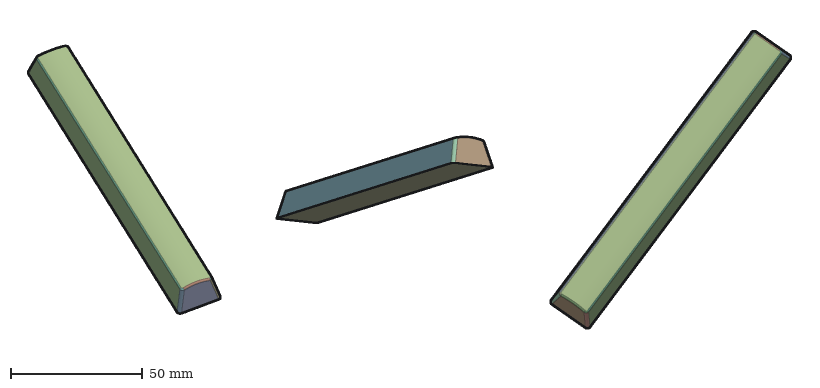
import cadquery as cq

LENGTH = 132.6
WIDTH = 18.3
HEIGHT = 11.4

WALL_DRAFT = 13.5
CORNER_RADIUS = 1.3
CROWN_RADIUS = 22.0
RIM_RADIUS = 0.8


def tapered_body():
    """Block with four leaning walls and rounded corner edges."""
    block = cq.Workplane("XY").rect(LENGTH, WIDTH).extrude(HEIGHT, taper=WALL_DRAFT)
    corner_edges = block.edges("not(#Z or |X or |Y)")
    return corner_edges.fillet(CORNER_RADIUS)


def crown_cylinder():
    """Cylinder along X whose upper side is the domed top of the cap."""
    return (
        cq.Workplane("YZ")
        .center(0, HEIGHT - CROWN_RADIUS)
        .circle(CROWN_RADIUS)
        .extrude(LENGTH / 2, both=True)
    )


def crowned_body():
    """Tapered body trimmed to the crown, with the rim around the crown rounded."""
    trimmed = tapered_body().intersect(crown_cylinder())
    upper_half = cq.selectors.BoxSelector(
        (-LENGTH, -WIDTH, HEIGHT / 2),
        (LENGTH, WIDTH, HEIGHT + RIM_RADIUS),
    )
    return trimmed.edges(upper_half).fillet(RIM_RADIUS)


result = crowned_body()